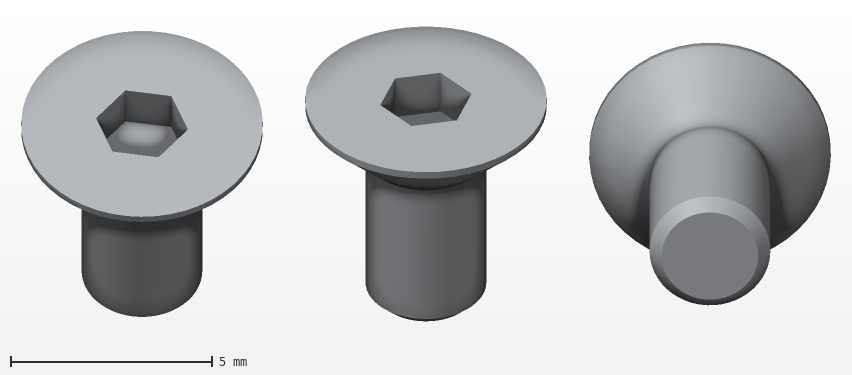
import cadquery as cq
import math

head_diameter = 6.0
shank_diameter = 3.0
overall_length = 6.0
rim_height = 0.2
tip_chamfer = 0.3
socket_across_flats = 2.0
socket_depth = 1.2

head_radius = head_diameter / 2
shank_radius = shank_diameter / 2
cone_height = head_radius - shank_radius
head_height = rim_height + cone_height
socket_across_corners = socket_across_flats / math.cos(math.pi / 6)


def screw_body():
    """Revolved countersunk head, shank and chamfered tip; head top at Z = 0."""
    return (
        cq.Workplane("XZ")
        .moveTo(0, 0)
        .lineTo(head_radius, 0)
        .lineTo(head_radius, -rim_height)
        .lineTo(shank_radius, -head_height)
        .lineTo(shank_radius, -overall_length + tip_chamfer)
        .lineTo(shank_radius - tip_chamfer, -overall_length)
        .lineTo(0, -overall_length)
        .close()
        .revolve(360, (0, 0, 0), (0, 1, 0))
    )


def hex_socket():
    """Flat-bottomed hexagonal drive recess with two corners on the X axis."""
    return cq.Workplane("XY").polygon(6, socket_across_corners).extrude(-socket_depth)


result = screw_body().cut(hex_socket())